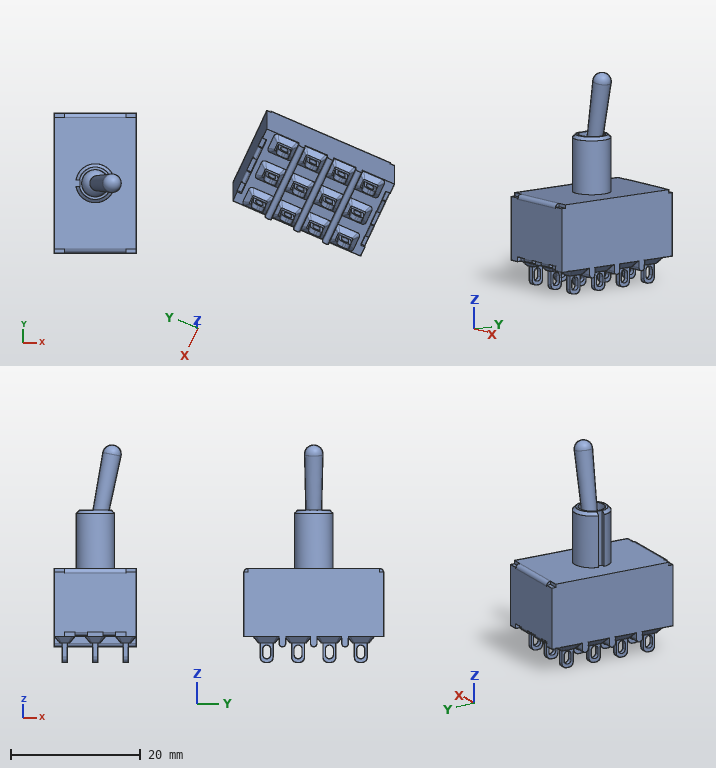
import cadquery as cq
import math

TOTAL_HEIGHT = 33.52
TERMINAL_DROP = 4.0
LEVER_TOP = TOTAL_HEIGHT - TERMINAL_DROP

CASE_X = 12.7
CASE_Y = 21.6
CASE_HEIGHT = 10.53
FRAME_X = 9.5
BEND_RADIUS = 0.7
NOTCH_DEPTH = 0.55
FRAME_END_Z = 0.75
FRAME_THICKNESS = 0.7

TAB_X = 1.98
TAB_OFFSET = 2.15
TAB_DROP = 0.57
TAB_RADIUS = 0.5

BUSHING_DIAMETER = 6.0
BUSHING_HEIGHT = 8.95
BUSHING_TOP = CASE_HEIGHT + BUSHING_HEIGHT
BUSHING_CHAMFER = 0.5
BORE_DIAMETER = 4.2
KEYWAY_WIDTH = 1.0
KEYWAY_DEPTH = 0.67

PIVOT_DEPTH = 4.6
PIVOT_Z = BUSHING_TOP - PIVOT_DEPTH
LEVER_TILT = 11.0
LEVER_ROOT_RADIUS = 1.15
LEVER_TIP_RADIUS = 1.45

COLUMNS = 3
ROWS = 4
COLUMN_PITCH = 4.7
ROW_PITCH = 4.83
TERMINAL_X = 0.8
TERMINAL_Y = 2.0
TERMINAL_CORNER_DIAMETER = 1.65
EYE_WIDTH = 1.2
EYE_LENGTH = 2.08
EYE_Z = -2.35

MOUND_X = 3.15
MOUND_Y = 4.2
MOUND_HEIGHT = 1.0
MOUND_INSET = 0.87
MOUND_TOP_CORNER = 0.5
MOUND_BOTTOM_CORNER = 0.17

RIB_WIDTH = 1.05
RIB_DROP = 1.58


def box_between(x0, x1, y0, y1, z0, z1):
    """Axis-aligned box given by its limits."""
    return cq.Workplane("XY").box(x1 - x0, y1 - y0, z1 - z0, centered=False).translate((x0, y0, z0))


def centered_places(count, pitch):
    """Evenly spaced positions that straddle zero."""
    return [(i - (count - 1) / 2) * pitch for i in range(count)]


def make_case():
    """Block with rounded frame bends, notched top corners and a recess under each frame end."""
    half_y = CASE_Y / 2
    half_frame = FRAME_X / 2
    sides = cq.Workplane("XY").box(CASE_X, CASE_Y, CASE_HEIGHT, centered=(True, True, False))
    middle = (
        cq.Workplane("XY")
        .box(FRAME_X, CASE_Y, CASE_HEIGHT, centered=(True, True, False))
        .edges(">Z and |X")
        .fillet(BEND_RADIUS)
    )
    for y_sign in (-1, 1):
        notch = cq.Workplane("XY").box(CASE_X, 2 * BEND_RADIUS, 2 * NOTCH_DEPTH)
        sides = sides.cut(notch.translate((0, y_sign * half_y, CASE_HEIGHT)))
    cheeks = sides.cut(box_between(-half_frame, half_frame, -half_y, half_y, 0, CASE_HEIGHT))
    case = cheeks.union(middle)

    for y_sign in (-1, 1):
        recess = cq.Workplane("XY").box(FRAME_X, 2 * FRAME_THICKNESS, 2 * FRAME_END_Z)
        case = case.cut(recess.translate((0, y_sign * half_y, 0)))
    return case


def make_frame_tabs():
    """Two tabs on each frame end, rounded where they fold under the case."""
    half_y = CASE_Y / 2
    tabs = cq.Workplane("XY")
    for x in (-TAB_OFFSET, TAB_OFFSET):
        tab = box_between(
            x - TAB_X / 2, x + TAB_X / 2,
            -half_y, -half_y + FRAME_THICKNESS,
            FRAME_END_Z - TAB_DROP, FRAME_END_Z,
        ).edges("<Y and <Z").fillet(TAB_RADIUS)
        tabs = tabs.union(tab).union(tab.mirror("XZ"))
    return tabs


def make_bushing():
    """Chamfered sleeve with a blind bore down to the pivot and a keyway along its -X side."""
    radius = BUSHING_DIAMETER / 2
    bushing = (
        cq.Workplane("XY", origin=(0, 0, CASE_HEIGHT))
        .circle(radius)
        .extrude(BUSHING_HEIGHT)
        .faces(">Z")
        .chamfer(BUSHING_CHAMFER)
    )
    bore = cq.Workplane("XY", origin=(0, 0, PIVOT_Z)).circle(BORE_DIAMETER / 2).extrude(PIVOT_DEPTH)
    keyway = box_between(
        -radius, -radius + KEYWAY_DEPTH,
        -KEYWAY_WIDTH / 2, KEYWAY_WIDTH / 2,
        CASE_HEIGHT, BUSHING_TOP,
    )
    return bushing.cut(bore).cut(keyway)


def make_lever():
    """Tapered round lever with a domed tip, tilted toward +X about the centre of its half ball."""
    length = (LEVER_TOP - LEVER_TIP_RADIUS - PIVOT_Z) / math.cos(math.radians(LEVER_TILT))
    dome_side = LEVER_TIP_RADIUS * math.sqrt(0.5)
    lever = (
        cq.Workplane("XZ")
        .lineTo(LEVER_ROOT_RADIUS, 0)
        .lineTo(LEVER_TIP_RADIUS, length)
        .threePointArc((dome_side, length + dome_side), (0, length + LEVER_TIP_RADIUS))
        .close()
        .revolve(360, (0, 0, 0), (0, 1, 0))
        .rotate((0, 0, 0), (0, 1, 0), LEVER_TILT)
    )
    ball = cq.Workplane("XY").sphere(BORE_DIAMETER / 2)
    upper_half = cq.Workplane("XY").circle(BORE_DIAMETER).extrude(LEVER_TOP)
    return lever.union(ball).intersect(upper_half).translate((0, 0, PIVOT_Z))


def rounded_rectangle(x_size, y_size, corner_radius, z):
    """Horizontal rectangle with rounded corners at height z."""
    outline = cq.Sketch().rect(x_size, y_size).vertices().fillet(corner_radius)
    return outline.moved(cq.Location(cq.Vector(0, 0, z)))


def make_terminal():
    """Solder lug with rounded lower corners and an oblong eye, standing in a tapered mound."""
    lug = (
        cq.Workplane("XY")
        .rect(TERMINAL_X, TERMINAL_Y)
        .extrude(-TERMINAL_DROP)
        .edges("<Z and |X")
        .fillet(TERMINAL_CORNER_DIAMETER / 2)
    )
    eye = (
        cq.Workplane("YZ")
        .center(0, EYE_Z)
        .slot2D(EYE_LENGTH, EYE_WIDTH, 90)
        .extrude(TERMINAL_X, both=True)
    )
    mound_top = rounded_rectangle(MOUND_X, MOUND_Y, MOUND_TOP_CORNER, 0)
    mound_bottom = rounded_rectangle(
        MOUND_X - 2 * MOUND_INSET,
        MOUND_Y - 2 * MOUND_INSET,
        MOUND_BOTTOM_CORNER,
        -MOUND_HEIGHT,
    )
    mound = cq.Workplane("XY").placeSketch(mound_top, mound_bottom).loft(ruled=True)
    return lug.cut(eye).union(mound)


def make_rib():
    """Round-edged barrier across the full width of the case."""
    radius = RIB_WIDTH / 2
    return (
        cq.Workplane("YZ")
        .moveTo(-radius, 0)
        .lineTo(-radius, radius - RIB_DROP)
        .threePointArc((0, -RIB_DROP), (radius, radius - RIB_DROP))
        .lineTo(radius, 0)
        .close()
        .extrude(CASE_X / 2, both=True)
    )


result = make_case().union(make_frame_tabs()).union(make_bushing()).union(make_lever())

terminal = make_terminal()
for terminal_x in centered_places(COLUMNS, COLUMN_PITCH):
    for terminal_y in centered_places(ROWS, ROW_PITCH):
        result = result.union(terminal.translate((terminal_x, terminal_y, 0)))

rib = make_rib()
for rib_y in centered_places(ROWS - 1, ROW_PITCH):
    result = result.union(rib.translate((0, rib_y, 0)))